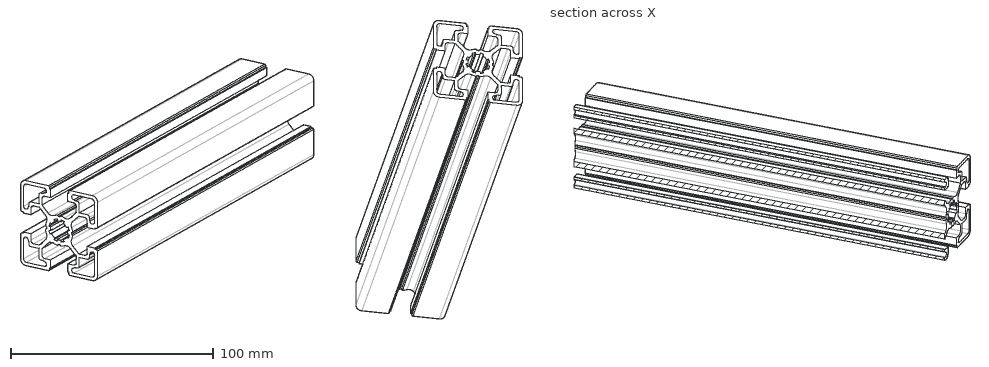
import cadquery as cq
import math

length = 200.0
width = 45.0
half_width = width / 2

mouth_half_width = 5.0
slot_half_width = 10.0
lip_thickness = 6.0
ledge_half_width = 5.5
ledge_depth = 1.5
mouth_chamfer = 0.5
slot_corner_radius = 1.5

corner_radius = 3.0
skin_thickness = 1.8
wall_thickness = 1.8
arm_width = 3.0
arm_end = 7.5
arm_end_radius = 1.3
arm_taper_length = 0.8
chamber_corner_radius = 1.5
arm_corner_radius = 1.2

core_radius = 8.0
web_thickness = 2.2
web_root_radius = 3.0
groove_half_width = 1.0
groove_floor_half_width = 0.5
groove_depth = 0.5

bore_radius = 6.0
ridge_radius = 5.0
axis_ridge_angle = 24.0
diagonal_ridge_angle = 32.0

quarter_turns = (0, 90, 180, 270)
diagonal_angle = 45
face_level = half_width
lip_level = half_width - lip_thickness
ledge_level = half_width - ledge_depth
web_offset = web_thickness / math.sqrt(2)
half_length = length / 2


def extrude_profile(profile):
    """Extrude a closed XZ profile along the full length."""
    return profile.close().extrude(half_length, both=True)


def spin(body, angle):
    """Turn a body about the long axis."""
    return body.rotate((0, 0, 0), (0, 1, 0), angle)


def long_edge_at(x, z):
    """Select the lengthwise edge that passes through (x, z)."""
    margin = 0.02
    return cq.selectors.BoxSelector(
        (x - margin, -margin, z - margin),
        (x + margin, margin, z + margin),
    )


def make_slot():
    """Upper T-slot: stepped mouth, undercut, web flanks and the top of the core."""
    centre_distance = core_radius + web_root_radius
    centre_rise = web_offset + web_root_radius * math.sqrt(2)
    root_x = (math.sqrt(2 * centre_distance**2 - centre_rise**2) - centre_rise) / 2
    root_z = root_x + centre_rise
    core_x = root_x * core_radius / centre_distance
    core_z = root_z * core_radius / centre_distance
    flank_x = root_x + web_root_radius / math.sqrt(2)
    flank_z = root_z - web_root_radius / math.sqrt(2)
    root_bottom_z = root_z - web_root_radius
    wall_foot_z = slot_half_width + web_offset

    outline = (
        cq.Workplane("XZ")
        .moveTo(-ledge_half_width, face_level)
        .lineTo(-ledge_half_width, ledge_level)
        .lineTo(-mouth_half_width, ledge_level)
        .lineTo(-mouth_half_width, lip_level)
        .lineTo(-slot_half_width, lip_level)
        .lineTo(-slot_half_width, wall_foot_z)
        .lineTo(-flank_x, flank_z)
        .threePointArc((-root_x, root_bottom_z), (-core_x, core_z))
        .threePointArc((0, core_radius), (core_x, core_z))
        .threePointArc((root_x, root_bottom_z), (flank_x, flank_z))
        .lineTo(slot_half_width, wall_foot_z)
        .lineTo(slot_half_width, lip_level)
        .lineTo(mouth_half_width, lip_level)
        .lineTo(mouth_half_width, ledge_level)
        .lineTo(ledge_half_width, ledge_level)
        .lineTo(ledge_half_width, face_level)
    )
    slot = extrude_profile(outline)
    for x in (-slot_half_width, slot_half_width):
        slot = slot.edges(long_edge_at(x, lip_level)).fillet(slot_corner_radius)
    return slot


def make_groove():
    """Flat-bottomed groove along the top of the core, at the bottom of the slot."""
    groove_z = math.sqrt(core_radius**2 - groove_half_width**2)
    groove_floor = core_radius - groove_depth
    groove_top = core_radius + groove_depth
    outline = (
        cq.Workplane("XZ")
        .moveTo(-groove_half_width, groove_top)
        .lineTo(-groove_half_width, groove_z)
        .lineTo(-groove_floor_half_width, groove_floor)
        .lineTo(groove_floor_half_width, groove_floor)
        .lineTo(groove_half_width, groove_z)
        .lineTo(groove_half_width, groove_top)
    )
    return extrude_profile(outline)


def make_chamber():
    """L-shaped hollow in the upper right corner, with round, tapered arm ends."""
    outer = half_width - skin_thickness
    arm_inner = outer - arm_width
    inner = slot_half_width + wall_thickness
    end_middle = outer - arm_end_radius
    end_inner = outer - 2 * arm_end_radius
    round_start = arm_end + arm_end_radius
    taper_start = round_start + arm_taper_length
    outline = (
        cq.Workplane("XZ")
        .moveTo(round_start, outer)
        .lineTo(outer, outer)
        .lineTo(outer, round_start)
        .threePointArc((end_middle, arm_end), (end_inner, round_start))
        .lineTo(arm_inner, taper_start)
        .lineTo(arm_inner, inner)
        .lineTo(inner, inner)
        .lineTo(inner, arm_inner)
        .lineTo(taper_start, arm_inner)
        .lineTo(round_start, end_inner)
        .threePointArc((arm_end, end_middle), (round_start, outer))
    )
    chamber = extrude_profile(outline)
    chamber = chamber.edges(long_edge_at(outer, outer)).fillet(chamber_corner_radius)
    for x, z in ((arm_inner, inner), (inner, arm_inner)):
        chamber = chamber.edges(long_edge_at(x, z)).fillet(arm_corner_radius)
    return chamber


def make_ridge(middle_angle, ridge_angle):
    """Sector of the bore wall standing in to the ridge radius."""
    def ring_point(radius, angle):
        turn = math.radians(angle)
        return radius * math.cos(turn), radius * math.sin(turn)

    start = middle_angle - ridge_angle / 2
    end = middle_angle + ridge_angle / 2
    outline = (
        cq.Workplane("XZ")
        .moveTo(*ring_point(ridge_radius, start))
        .lineTo(*ring_point(bore_radius, start))
        .threePointArc(ring_point(bore_radius, middle_angle), ring_point(bore_radius, end))
        .lineTo(*ring_point(ridge_radius, end))
        .threePointArc(ring_point(ridge_radius, middle_angle), ring_point(ridge_radius, start))
    )
    return extrude_profile(outline)


def make_bore():
    """Central bore, narrowed by ridges on the axes and on the diagonals."""
    bore = cq.Workplane("XZ").circle(bore_radius).extrude(half_length, both=True)
    for angle in quarter_turns:
        bore = bore.cut(make_ridge(angle, axis_ridge_angle))
        bore = bore.cut(make_ridge(angle + diagonal_angle, diagonal_ridge_angle))
    return bore


result = cq.Workplane("XY").box(width, length, width).edges("|Y").fillet(corner_radius)

for quarter_turn in quarter_turns:
    for cutter in (make_slot(), make_groove(), make_chamber()):
        result = result.cut(spin(cutter, quarter_turn))

for edge_x in (-ledge_half_width, ledge_half_width):
    for edge_z in (-half_width, half_width):
        result = result.edges(long_edge_at(edge_x, edge_z)).chamfer(mouth_chamfer)
        result = result.edges(long_edge_at(edge_z, edge_x)).chamfer(mouth_chamfer)

result = result.cut(make_bore())